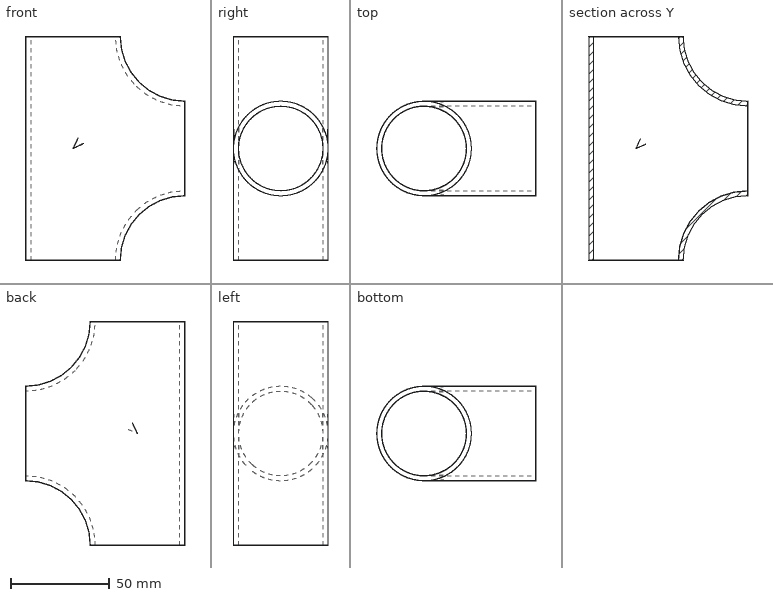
import cadquery as cq
import math

outer_diameter = 48.3
wall = 2.6
centre_to_end = 57.0

arcs_per_blend = 40
steps_per_arc = 24
blend_tolerance = 1e-4
sewing_tolerance = 1e-3

outer_radius = outer_diameter / 2
inner_radius = outer_radius - wall


def blend_point(radius, pole_angle, arc_angle):
    """Point on the blend, whose arcs shrink to nothing at the poles y = -/+ radius."""
    arc_radius = centre_to_end - radius
    shrink = math.cos(pole_angle)
    x = shrink * (centre_to_end - arc_radius * math.cos(arc_angle))
    z = shrink * (centre_to_end - arc_radius * math.sin(arc_angle))
    return cq.Vector(x, radius * math.sin(pole_angle), z)


def blend_face(radius):
    """Surface of quarter arcs, tangent to the run at one seam and to the branch at the other."""
    arc_angles = [math.pi / 2 * j / steps_per_arc for j in range(steps_per_arc + 1)]
    rows = []
    for i in range(arcs_per_blend + 1):
        pole_angle = math.pi * (i / arcs_per_blend - 0.5)
        rows.append([blend_point(radius, pole_angle, angle) for angle in arc_angles])
    return cq.Face.makeSplineApprox(rows, tol=blend_tolerance, minDeg=2, maxDeg=3)


def seam_prism(radius, x, z):
    """Triangular prism across the full diameter, from the Y axis out to (x, -/+ z)."""
    triangle = cq.Workplane("XZ").polyline([(0, 0), (x, z), (x, -z)]).close()
    return triangle.extrude(2 * radius, both=True)


def half_run_pipe(radius):
    """Half run cylinder on the -Y side, without the part between its two seam planes."""
    height = 2 * centre_to_end
    base = cq.Workplane("XY", origin=(0, 0, -centre_to_end))
    half_disc = base.moveTo(-radius, 0).threePointArc((0, -radius), (radius, 0)).close()
    return half_disc.extrude(height).cut(seam_prism(radius, 2 * radius, height))


def branch_pipe(radius):
    """Branch cylinder, pointed at the crossing of the axes by its two seam planes."""
    branch = cq.Workplane("YZ").circle(radius).extrude(centre_to_end)
    return branch.intersect(seam_prism(radius, 2 * centre_to_end, 2 * radius))


def pipe_walls(radius):
    """Cylindrical faces of the run, in two halves that meet at y = 0, and of the branch."""
    near_wall = half_run_pipe(radius).faces("%CYLINDER").val()
    far_wall = near_wall.mirror("XZ")
    return [near_wall, far_wall] + branch_pipe(radius).faces("%CYLINDER").vals()


def skin(radius):
    """All curved faces at one pipe radius: the pipe walls and both crotch blends."""
    upper_blend = blend_face(radius)
    lower_blend = upper_blend.mirror("XY")
    return pipe_walls(radius) + [upper_blend, lower_blend]


def end_rings():
    """Flat rings between the outer and inner skins at the three open ends."""
    run_ring = cq.Workplane("XY").circle(outer_radius).circle(inner_radius)
    branch_ring = cq.Workplane("YZ").circle(outer_radius).circle(inner_radius)
    run_ends = run_ring.extrude(centre_to_end, both=True).faces("<Z or >Z")
    branch_end = branch_ring.extrude(centre_to_end).faces(">X")
    return run_ends.vals() + branch_end.vals()


def hollow_tee():
    """Outer skin, inner skin and end rings sewn into one closed solid."""
    faces = skin(outer_radius) + skin(inner_radius) + end_rings()
    shell = cq.occ_impl.shapes.shell(*faces, tol=sewing_tolerance)
    return cq.Workplane(cq.Solid.makeSolid(shell))


result = hollow_tee()